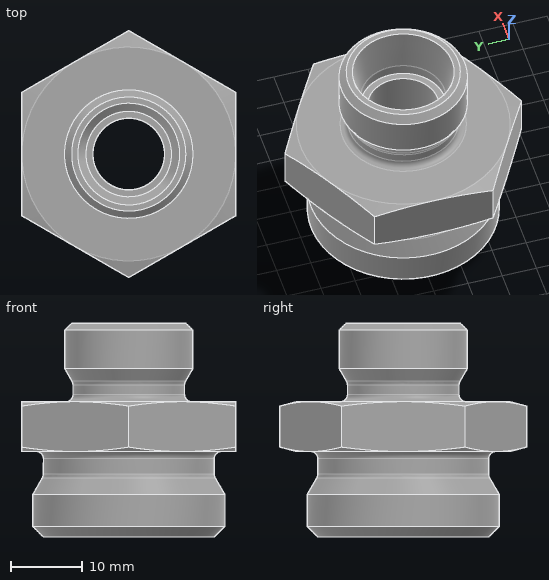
import cadquery as cq
import math

total_height = 30.0
hex_bottom = 12.0
hex_top = 19.0

hex_across_flats = 30.0
hex_across_corners = 34.65
hex_chamfer_angle = 15.0

lower_diameter = 27.0
lower_neck_diameter = 24.0
lower_chamfer = (lower_diameter - lower_neck_diameter) / 2
lower_shoulder = 5.95

upper_diameter = 18.0
upper_neck_diameter = 15.7
upper_chamfer = 1.0
upper_shoulder = 23.62

groove_cone_angle = 30.0
groove_fillet = 1.0

bore_diameter = 10.0
socket_diameter = 12.0
socket_depth = 7.0
seat_mouth_diameter = 14.27
seat_half_angle = 12.0


def tan_deg(angle):
    return math.tan(math.radians(angle))


def threaded_end(diameter, neck_diameter, chamfer, straight_length, length):
    """Solid end standing on its chamfered face, with the relief neck on top."""
    radius = diameter / 2
    neck_radius = neck_diameter / 2
    cone_length = (radius - neck_radius) / tan_deg(groove_cone_angle)
    return (
        cq.Workplane("XZ")
        .moveTo(0, 0)
        .lineTo(radius - chamfer, 0)
        .lineTo(radius, chamfer)
        .lineTo(radius, straight_length)
        .lineTo(neck_radius, straight_length + cone_length)
        .lineTo(neck_radius, length)
        .lineTo(0, length)
        .close()
        .revolve(360, (0, 0), (0, 1))
    )


def chamfered_hexagon():
    """Hexagon whose corners are trimmed by a cone at each face."""
    height = hex_top - hex_bottom
    flat_radius = hex_across_flats / 2
    corner_radius = hex_across_corners / 2
    drop = (corner_radius - flat_radius) * tan_deg(hex_chamfer_angle)
    prism = (
        cq.Workplane("XY")
        .polygon(6, hex_across_corners)
        .extrude(height)
        .rotate((0, 0, 0), (0, 0, 1), 30)
    )
    envelope = (
        cq.Workplane("XZ")
        .moveTo(0, 0)
        .lineTo(flat_radius, 0)
        .lineTo(corner_radius, drop)
        .lineTo(corner_radius, height - drop)
        .lineTo(flat_radius, height)
        .lineTo(0, height)
        .close()
        .revolve(360, (0, 0), (0, 1))
    )
    return prism.intersect(envelope).translate((0, 0, hex_bottom))


def neck_edges(body, neck_diameter, low, high):
    """Circular edges of a neck between two heights."""
    reach = neck_diameter / 2 + 0.05
    box = cq.selectors.BoxSelector((-reach, -reach, low), (reach, reach, high), boundingbox=True)
    return body.edges(box)


def bore():
    """Stepped bore, open at both ends."""
    seat_depth = (seat_mouth_diameter - socket_diameter) / 2 / tan_deg(seat_half_angle)
    return (
        cq.Workplane("XZ")
        .moveTo(0, 0)
        .lineTo(bore_diameter / 2, 0)
        .lineTo(bore_diameter / 2, total_height - socket_depth)
        .lineTo(socket_diameter / 2, total_height - socket_depth)
        .lineTo(socket_diameter / 2, total_height - seat_depth)
        .lineTo(seat_mouth_diameter / 2, total_height)
        .lineTo(0, total_height)
        .close()
        .revolve(360, (0, 0), (0, 1))
    )


lower_end = threaded_end(
    lower_diameter, lower_neck_diameter, lower_chamfer, lower_shoulder, hex_bottom
)
upper_end = (
    threaded_end(
        upper_diameter,
        upper_neck_diameter,
        upper_chamfer,
        total_height - upper_shoulder,
        total_height - hex_top,
    )
    .rotate((0, 0, 0), (1, 0, 0), 180)
    .translate((0, 0, total_height))
)
body = chamfered_hexagon().union(lower_end).union(upper_end)

body = neck_edges(body, lower_neck_diameter, lower_shoulder, hex_bottom + 0.05).fillet(groove_fillet)
body = neck_edges(body, upper_neck_diameter, hex_top - 0.05, upper_shoulder).fillet(groove_fillet)

result = body.cut(bore())